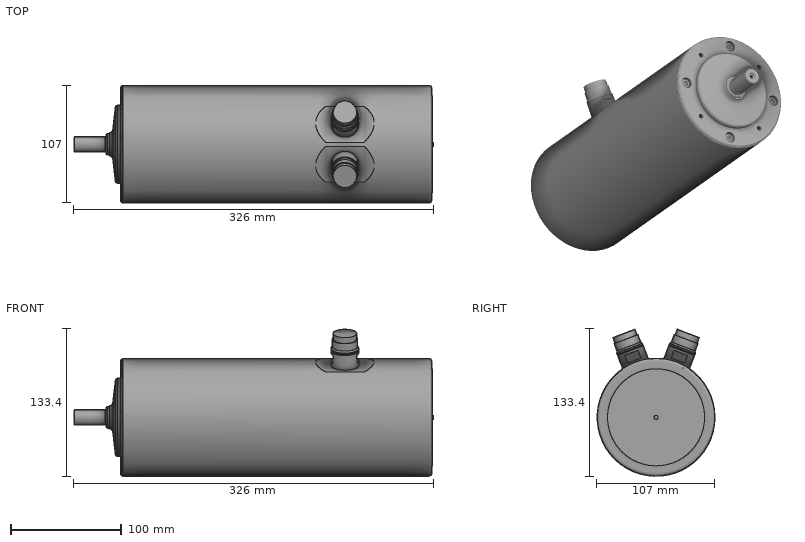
import cadquery as cq
import math


housing_radius = 53.5
front_face_x = 42.5
front_chamfer = 1.3
front_band_x = 44.5
front_band_drop = 0.3
rear_face_x = 324.7
rear_round = 3.0
rear_disc_diameter = 88.0
rear_disc_x = 325.5
rear_nub_diameter = 3.5
overall_length = 326.0

spigot_radius = 35.5
spigot_edge_radius = 35.0
spigot_taper_x = 39.5
spigot_edge_x = 38.0
cone_outer_radius = 34.0
cone_slope = math.radians(6.5)
neck_fillet = 3.0
neck_diameter = 21.2
neck_x = 32.3
collar_diameter = 20.0
collar_x = 29.5
collar_chamfer = 1.0
collar_recess_diameter = 17.0
collar_recess_depth = 1.5

shaft_diameter = 14.0
shaft_tip_chamfer = 0.5
shaft_groove_diameter = 13.5
shaft_groove_x = 28.0
shaft_groove_width = 1.0
centre_hole_diameter = 3.5
centre_hole_depth = 6.5
centre_counterbore_diameter = 5.2
centre_counterbore_depth = 2.0
centre_countersink_diameter = 7.0

hole_count = 4
mounting_circle_radius = 42.5
mounting_hole_diameter = 4.5
mounting_hole_depth = 8.0
screw_circle_radius = 44.5
screw_counterbore_diameter = 10.0
screw_counterbore_depth = 4.0
screw_head_diameter = 8.5
screw_head_height = 2.0
screw_head_chamfer = 1.0
screw_socket_width = 4.5
screw_socket_depth = 1.5

connector_x = 245.8
connector_tilt = 21.0
pocket_length = 35.0
pocket_floor_height = 50.5
pocket_top_length = 53.0
pocket_width = 39.0
connector_base_diameter = 25.0
connector_barrel_diameter = 23.0
connector_tip_diameter = 21.5
connector_groove_diameter = 23.5
connector_groove_bottom = 65.0
connector_groove_top = 66.0
connector_shoulder_height = 67.0
barrel_height = 68.8
tip_step_height = 76.0
connector_top_height = 81.5
wrench_flat_distance = 21.5
wrench_flat_bottom = 55.0
wrench_flat_top = 62.5


def x_cylinder(diameter, start_x, end_x, y=0.0, z=0.0):
    """Cylinder parallel to the motor axis."""
    return cq.Workplane("YZ", origin=(start_x, y, z)).circle(diameter / 2).extrude(end_x - start_x)


def tilt(shape, angle):
    """Turn a shape about the motor axis; a positive angle leans its top towards -Y."""
    return shape.rotate((0, 0, 0), (1, 0, 0), angle)


def fillet_x(turn):
    """X of the neck fillet after it has turned by an angle away from the shaft direction."""
    return neck_x + neck_fillet * math.sin(turn)


def fillet_radius(turn):
    """Distance of the neck fillet from the motor axis after the same turn."""
    return neck_diameter / 2 + neck_fillet * (1 - math.cos(turn))


def turned_motor():
    """Shaft, spigot and housing turned as one profile about the motor axis."""
    shaft_radius = shaft_diameter / 2
    groove_radius = shaft_groove_diameter / 2
    groove_end_x = shaft_groove_x + shaft_groove_width
    recess_radius = collar_recess_diameter / 2
    recess_floor_x = collar_x + collar_recess_depth
    collar_radius = collar_diameter / 2
    neck_radius = neck_diameter / 2
    band_radius = housing_radius - front_band_drop
    fillet_turn = math.pi / 2 - cone_slope
    cone_inner_x = fillet_x(fillet_turn)
    cone_inner_radius = fillet_radius(fillet_turn)
    cone_outer_x = cone_inner_x + (cone_outer_radius - cone_inner_radius) * math.tan(cone_slope)
    arc_inset = rear_round * (1 - math.sqrt(0.5))
    profile = (
        cq.Workplane("XY")
        .moveTo(0, 0)
        .lineTo(0, shaft_radius - shaft_tip_chamfer)
        .lineTo(shaft_tip_chamfer, shaft_radius)
        .lineTo(shaft_groove_x, shaft_radius)
        .lineTo(shaft_groove_x, groove_radius)
        .lineTo(groove_end_x, groove_radius)
        .lineTo(groove_end_x, shaft_radius)
        .lineTo(recess_floor_x, shaft_radius)
        .lineTo(recess_floor_x, recess_radius)
        .lineTo(collar_x, recess_radius)
        .lineTo(collar_x, collar_radius - collar_chamfer)
        .lineTo(collar_x + collar_chamfer, collar_radius)
        .lineTo(neck_x, collar_radius)
        .lineTo(neck_x, neck_radius)
        .threePointArc(
            (fillet_x(fillet_turn / 2), fillet_radius(fillet_turn / 2)),
            (cone_inner_x, cone_inner_radius),
        )
        .lineTo(cone_outer_x, cone_outer_radius)
        .lineTo(spigot_edge_x, spigot_edge_radius)
        .lineTo(spigot_taper_x, spigot_radius)
        .lineTo(front_face_x, spigot_radius)
        .lineTo(front_face_x, band_radius - front_chamfer)
        .lineTo(front_face_x + front_chamfer, band_radius)
        .lineTo(front_band_x, band_radius)
        .lineTo(front_band_x, housing_radius)
        .lineTo(rear_face_x - rear_round, housing_radius)
        .threePointArc(
            (rear_face_x - arc_inset, housing_radius - arc_inset),
            (rear_face_x, housing_radius - rear_round),
        )
        .lineTo(rear_face_x, rear_disc_diameter / 2)
        .lineTo(rear_disc_x, rear_disc_diameter / 2)
        .lineTo(rear_disc_x, rear_nub_diameter / 2)
        .lineTo(overall_length, rear_nub_diameter / 2)
        .lineTo(overall_length, 0)
        .close()
    )
    return profile.revolve(360, (0, 0, 0), (1, 0, 0))


def shaft_centre_hole():
    """Centre hole in the shaft end, with a counterbore and a 90 degree countersink."""
    hole_radius = centre_hole_diameter / 2
    bore_radius = centre_counterbore_diameter / 2
    mouth_radius = centre_countersink_diameter / 2
    return (
        cq.Workplane("XY")
        .polyline([
            (0, 0),
            (0, mouth_radius),
            (mouth_radius - bore_radius, bore_radius),
            (centre_counterbore_depth, bore_radius),
            (centre_counterbore_depth, hole_radius),
            (centre_hole_depth, hole_radius),
            (centre_hole_depth, 0),
        ])
        .close()
        .revolve(360, (0, 0, 0), (1, 0, 0))
    )


def mounting_hole(angle):
    """Blind mounting hole in the front face."""
    hole = x_cylinder(
        mounting_hole_diameter, front_face_x, front_face_x + mounting_hole_depth, z=mounting_circle_radius
    )
    return tilt(hole, angle)


def screw_recess(angle):
    """Counterbore with the sunk head of a socket screw left standing in it."""
    floor_x = front_face_x + screw_counterbore_depth
    head_x = floor_x - screw_head_height
    counterbore = x_cylinder(screw_counterbore_diameter, front_face_x, floor_x, z=screw_circle_radius)
    head = x_cylinder(screw_head_diameter, head_x, floor_x, z=screw_circle_radius)
    head = head.faces("<X").chamfer(screw_head_chamfer)
    socket = (
        cq.Workplane("YZ", origin=(head_x, 0, screw_circle_radius))
        .polygon(6, screw_socket_width, circumscribed=True)
        .extrude(screw_socket_depth)
    )
    return tilt(counterbore.cut(head.cut(socket)), angle)


def connector_pocket(angle):
    """Flat-floored pocket with ramps at both ends, reaching out through the housing surface."""
    ramp_run = (pocket_top_length - pocket_length) / 2
    depth = housing_radius - pocket_floor_height
    pocket = (
        cq.Workplane("XZ", origin=(connector_x, 0, pocket_floor_height))
        .polyline([
            (-pocket_length / 2, 0),
            (pocket_length / 2, 0),
            (pocket_length / 2 + ramp_run, depth),
            (pocket_length / 2 + 2 * ramp_run, 2 * depth),
            (-pocket_length / 2 - 2 * ramp_run, 2 * depth),
        ])
        .close()
        .extrude(pocket_width / 2, both=True)
    )
    return tilt(pocket, angle)


def motor_body():
    """Motor with its front holes, screws and connector pockets."""
    body = turned_motor().cut(shaft_centre_hole())
    spacing = 360 / hole_count
    for index in range(hole_count):
        body = body.cut(screw_recess(index * spacing))
        body = body.cut(mounting_hole((index + 0.5) * spacing))
    for angle in (-connector_tilt, connector_tilt):
        body = body.cut(connector_pocket(angle))
    return body


def wrench_flat(side):
    """Block that cuts a wrench flat on the -X or +X side of a connector."""
    flat_height = wrench_flat_top - wrench_flat_bottom
    cut_depth = (connector_base_diameter - wrench_flat_distance) / 2
    block_x = side * (wrench_flat_distance / 2 + cut_depth)
    return (
        cq.Workplane("XY", origin=(block_x, 0, wrench_flat_bottom))
        .rect(2 * cut_depth, connector_base_diameter)
        .extrude(flat_height)
    )


def connector_body(angle):
    """Stepped round connector standing on its pocket floor, with two wrench flats."""
    base_radius = connector_base_diameter / 2
    groove_radius = connector_groove_diameter / 2
    barrel_radius = connector_barrel_diameter / 2
    tip_radius = connector_tip_diameter / 2
    body = (
        cq.Workplane("XZ")
        .polyline([
            (0, pocket_floor_height),
            (base_radius, pocket_floor_height),
            (base_radius, connector_groove_bottom),
            (groove_radius, connector_groove_bottom),
            (groove_radius, connector_groove_top),
            (base_radius, connector_groove_top),
            (base_radius, connector_shoulder_height),
            (barrel_radius, barrel_height),
            (barrel_radius, tip_step_height),
            (tip_radius, tip_step_height),
            (tip_radius, connector_top_height),
            (0, connector_top_height),
        ])
        .close()
        .revolve(360, (0, 0, 0), (0, 1, 0))
    )
    for side in (-1, 1):
        body = body.cut(wrench_flat(side))
    return tilt(body.translate((connector_x, 0, 0)), angle)


motor = motor_body()
connectors = [connector_body(angle) for angle in (-connector_tilt, connector_tilt)]

result = cq.Compound.makeCompound([motor.val(), *[connector.val() for connector in connectors]])